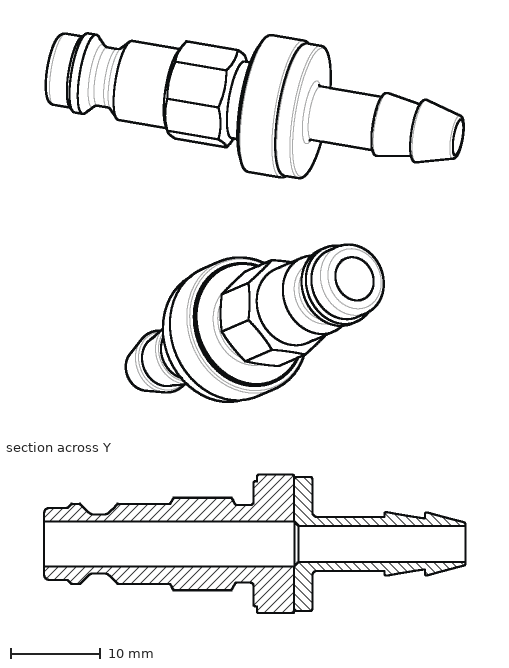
import cadquery as cq
import math

LENGTH = 47.0
SEAM_X = 27.9

PLUG_BORE_R = 4.95 / 2
HOSE_BORE_R = 4.0 / 2

NOSE_R = 8.1 / 2
NOSE_FILLET = 0.6
NOSE_END_X = 2.65
BARREL_R = 9.0 / 2
NOSE_STEP = BARREL_R - NOSE_R
RIDGE_END_X = 4.05
GROOVE_R = 6.65 / 2
GROOVE_FILLET = 0.85
BARREL_X = 8.22

WRENCH_X = 14.05
WRENCH_END_X = 21.4
WRENCH_FLATS = 10.35
WRENCH_SIDES = 8
WRENCH_CHAMFER_ANGLE = math.radians(30)

NECK_R = 8.7 / 2
NECK_FILLET = 0.38

BOSS_X = 23.35
BOSS_R = 14.0 / 2
BOSS_CHAMFER = 0.15
COLLAR_X = 23.75
COLLAR_R = 15.5 / 2
COLLAR_FILLET = 0.25

FLANGE_R = 15.0 / 2
FLANGE_END_X = 29.95
FLANGE_FILLET = 0.25

TUBE_R = 6.05 / 2
TUBE_FILLET = 0.5
BARB_XS = (37.95, 42.45)
BARB_R = 3.6
BARB_FILLET = 0.25
BARB_ROOT_R = 2.85
TIP_R = 2.4
TIP_FILLET = 0.3

HALF = math.sqrt(0.5)


def revolve_about_x(profile):
    return profile.close().revolve(360, (0, 0, 0), (1, 0, 0))


def add_convex_start(profile, x, r, size):
    """Run up a left-hand face at x and round its outer edge at radius r."""
    return (
        profile.lineTo(x, r - size)
        .threePointArc((x + size * (1 - HALF), r - size * (1 - HALF)), (x + size, r))
    )


def add_convex_end(profile, x, r, size):
    """Run along radius r and round the outer edge onto a right-hand face at x."""
    return (
        profile.lineTo(x - size, r)
        .threePointArc((x - size * (1 - HALF), r - size * (1 - HALF)), (x, r - size))
    )


def add_locking_groove(profile):
    """45-degree flanks blended into the groove floor by tangent arcs."""
    blend_run = GROOVE_FILLET * HALF
    blend_rise = GROOVE_FILLET * (1 - HALF)
    half_blend = math.radians(45) / 2
    mid_run = GROOVE_FILLET * math.sin(half_blend)
    mid_rise = GROOVE_FILLET * (1 - math.cos(half_blend))
    flank_run = BARREL_R - GROOVE_R - blend_rise
    left_flank_x = RIDGE_END_X + flank_run
    right_flank_x = BARREL_X - flank_run
    left_floor_x = left_flank_x + blend_run
    right_floor_x = right_flank_x - blend_run
    flank_r = GROOVE_R + blend_rise
    return (
        profile.lineTo(RIDGE_END_X, BARREL_R)
        .lineTo(left_flank_x, flank_r)
        .threePointArc((left_floor_x - mid_run, GROOVE_R + mid_rise), (left_floor_x, GROOVE_R))
        .lineTo(right_floor_x, GROOVE_R)
        .threePointArc((right_floor_x + mid_run, GROOVE_R + mid_rise), (right_flank_x, flank_r))
        .lineTo(BARREL_X, BARREL_R)
    )


def make_wrench_section():
    """Octagonal prism with conically chamfered corners at both ends."""
    corner_r = WRENCH_FLATS / 2 / math.cos(math.pi / WRENCH_SIDES)
    slope = math.tan(WRENCH_CHAMFER_ANGLE)
    start_chamfer = (corner_r - BARREL_R) * slope
    end_chamfer = (corner_r - NECK_R) * slope
    prism = (
        cq.Workplane("YZ", origin=(WRENCH_X, 0, 0))
        .polygon(WRENCH_SIDES, 2 * corner_r)
        .extrude(WRENCH_END_X - WRENCH_X)
        .rotate((0, 0, 0), (1, 0, 0), 180 / WRENCH_SIDES)
    )
    envelope = revolve_about_x(
        cq.Workplane("XY")
        .moveTo(WRENCH_X, 0)
        .lineTo(WRENCH_X, BARREL_R)
        .lineTo(WRENCH_X + start_chamfer, corner_r)
        .lineTo(WRENCH_END_X - end_chamfer, corner_r)
        .lineTo(WRENCH_END_X, NECK_R)
        .lineTo(WRENCH_END_X, 0)
    )
    return prism.intersect(envelope)


def make_nipple():
    profile = cq.Workplane("XY").moveTo(0, 0)
    profile = add_convex_start(profile, 0, NOSE_R, NOSE_FILLET)
    profile = profile.lineTo(NOSE_END_X, NOSE_R).lineTo(NOSE_END_X + NOSE_STEP, BARREL_R)
    profile = add_locking_groove(profile)
    neck_blend = (BOSS_X - NECK_FILLET * (1 - HALF), NECK_R + NECK_FILLET * (1 - HALF))
    profile = (
        profile.lineTo(WRENCH_X, BARREL_R)
        .lineTo(WRENCH_X, NECK_R)
        .lineTo(BOSS_X - NECK_FILLET, NECK_R)
        .threePointArc(neck_blend, (BOSS_X, NECK_R + NECK_FILLET))
        .lineTo(BOSS_X, BOSS_R - BOSS_CHAMFER)
        .lineTo(BOSS_X + BOSS_CHAMFER, BOSS_R)
        .lineTo(COLLAR_X, BOSS_R)
    )
    profile = add_convex_start(profile, COLLAR_X, COLLAR_R, COLLAR_FILLET)
    profile = add_convex_end(profile, SEAM_X, COLLAR_R, COLLAR_FILLET)
    body = revolve_about_x(profile.lineTo(SEAM_X, 0))
    bore = cq.Workplane("YZ").circle(PLUG_BORE_R).extrude(SEAM_X)
    return body.union(make_wrench_section()).cut(bore)


def make_hose_bore():
    """Through bore with a 45-degree lead-in from the wider plug bore."""
    return revolve_about_x(
        cq.Workplane("XY")
        .moveTo(SEAM_X, 0)
        .lineTo(SEAM_X, PLUG_BORE_R)
        .lineTo(SEAM_X + PLUG_BORE_R - HOSE_BORE_R, HOSE_BORE_R)
        .lineTo(LENGTH, HOSE_BORE_R)
        .lineTo(LENGTH, 0)
    )


def make_hose_barb():
    tube_blend = (FLANGE_END_X + TUBE_FILLET * (1 - HALF), TUBE_R + TUBE_FILLET * (1 - HALF))
    profile = cq.Workplane("XY").moveTo(SEAM_X, 0)
    profile = add_convex_start(profile, SEAM_X, FLANGE_R, FLANGE_FILLET)
    profile = add_convex_end(profile, FLANGE_END_X, FLANGE_R, FLANGE_FILLET)
    profile = (
        profile.lineTo(FLANGE_END_X, TUBE_R + TUBE_FILLET)
        .threePointArc(tube_blend, (FLANGE_END_X + TUBE_FILLET, TUBE_R))
        .lineTo(BARB_XS[0], TUBE_R)
    )
    barb_ends = ((BARB_XS[1], BARB_ROOT_R), (LENGTH, TIP_R))
    for barb_x, barb_end in zip(BARB_XS, barb_ends):
        profile = profile.lineTo(barb_x, BARB_R).lineTo(*barb_end)
    body = revolve_about_x(profile.lineTo(LENGTH, 0))
    for barb_x in BARB_XS:
        crest = cq.selectors.BoxSelector(
            (barb_x - BARB_FILLET, -LENGTH, -LENGTH),
            (barb_x + BARB_FILLET, LENGTH, LENGTH),
        )
        body = body.edges(crest).edges(cq.selectors.RadiusNthSelector(-1)).fillet(BARB_FILLET)
    body = body.faces(">X").edges().fillet(TIP_FILLET)
    return body.cut(make_hose_bore())


nipple = make_nipple()
hose_barb = make_hose_barb()

result = cq.Compound.makeCompound([nipple.val(), hose_barb.val()])